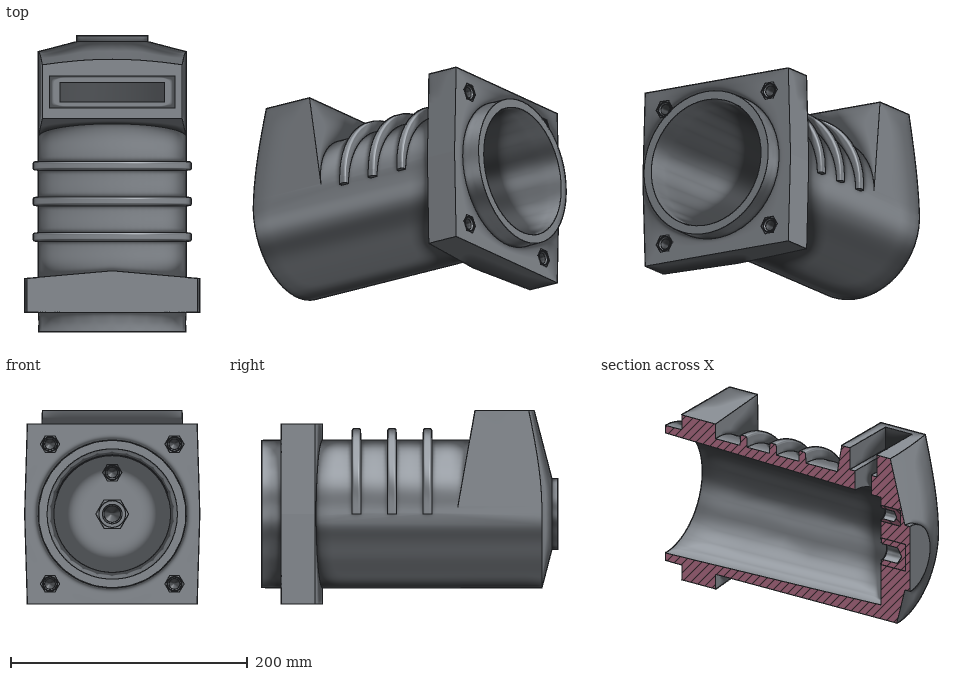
import cadquery as cq
import math

LENGTH = 250.0
BODY_RADIUS = 62.5
COLLAR_LENGTH = 16.5
COLLAR_END_RADIUS = 62.2
BOSS_RADIUS = 30.0
BOSS_LENGTH = 5.0
SHOULDER_END_Y = LENGTH - BOSS_LENGTH
SHOULDER_SLOPE = 0.26

BORE_MOUTH_RADIUS = 55.0
BORE_FLOOR_RADIUS = 49.2
BORE_DEPTH = 220.0

HEAD_TOP = 87.5
HEAD_SPRING_Z = 6.0
HEAD_TOP_HALF_WIDTH = 59.0
HEAD_FRONT_TOP_Y = 180.0
HEAD_FRONT_BASE_Y = 164.5

SLOT_CENTER_Y = 202.2
POCKET_WIDTH = 106.0
POCKET_BREADTH = 27.0
POCKET_DEPTH = 20.0
SLOT_WIDTH = 88.0
SLOT_BREADTH = 16.5

FLANGE_HEIGHT = 152.0
FLANGE_WIDTH = 148.0
FLANGE_CORNER_WIDTH = 143.5
FLANGE_SIDE_Y = 45.0
FLANGE_RIDGE_Y = 51.5

RIB_COUNT = 3
RIB_FIRST_Y = 80.0
RIB_PITCH = 30.0
RIB_TIP_THICKNESS = 7.0
RIB_ROOT_THICKNESS = 7.8
RIB_ROOT_RADIUS = 56.0
RIB_RADIUS = 66.8
RIB_CENTER_Z = 5.5
RIB_FILLET = 2.0

CORNER_INSERT_X = 52.5
CORNER_INSERT_Z = 59.0
FLOOR_INSERT_Z = 35.0
SMALL_FLATS = 14.0
SMALL_FACE_RADIUS = 6.2
SMALL_HOLE_RADIUS = 4.5
SMALL_LENGTH = 20.0
LARGE_FLATS = 24.0
LARGE_FACE_RADIUS = 11.2
LARGE_HOLE_RADIUS = 7.0
LARGE_LENGTH = 25.0
HOLE_CHAMFER = 1.2
FACE_RECESS = 0.5
TIP_HALF_ANGLE = 59.0
END_WALL = 3.8


def revolve_about_y(points):
    """Solid of revolution about Y from (radius, y) points."""
    profile = [(y, radius) for radius, y in points]
    return cq.Workplane("YZ").polyline(profile).close().revolve(360, (0, 0, 0), (1, 0, 0))


def make_boss():
    return revolve_about_y([(0, 0), (BOSS_RADIUS, 0), (BOSS_RADIUS, LENGTH), (0, LENGTH)])


def make_tube():
    """Round body with a drafted collar in front, left square at the rear."""
    return revolve_about_y([
        (0, 0),
        (COLLAR_END_RADIUS, 0),
        (BODY_RADIUS, COLLAR_LENGTH),
        (BODY_RADIUS, SHOULDER_END_Y),
        (0, SHOULDER_END_Y),
    ])


def make_head():
    """Head whose side walls spring from the body and lean inwards, left square at the rear."""
    spring_x = math.sqrt(BODY_RADIUS**2 - HEAD_SPRING_Z**2)
    across = (
        cq.Workplane("XZ")
        .polyline([
            (0, 0),
            (spring_x, HEAD_SPRING_Z),
            (HEAD_TOP_HALF_WIDTH, HEAD_TOP),
            (-HEAD_TOP_HALF_WIDTH, HEAD_TOP),
            (-spring_x, HEAD_SPRING_Z),
        ])
        .close()
        .extrude(-LENGTH)
    )
    along = (
        cq.Workplane("YZ")
        .polyline([
            (HEAD_FRONT_BASE_Y, 0),
            (SHOULDER_END_Y, 0),
            (SHOULDER_END_Y, HEAD_TOP),
            (HEAD_FRONT_TOP_Y, HEAD_TOP),
        ])
        .close()
        .extrude(BODY_RADIUS, both=True)
    )
    return across.intersect(along)


def make_shoulder_envelope():
    """Everything in front of the rear cone, which trims both the tube and the head."""
    reach = 2 * BODY_RADIUS
    reach_y = SHOULDER_END_Y - SHOULDER_SLOPE * (reach - BOSS_RADIUS)
    apex_y = SHOULDER_END_Y + SHOULDER_SLOPE * BOSS_RADIUS
    return revolve_about_y([(0, -LENGTH), (reach, -LENGTH), (reach, reach_y), (0, apex_y)])


def make_flange():
    half_width = FLANGE_WIDTH / 2
    half_corner = FLANGE_CORNER_WIDTH / 2
    half_height = FLANGE_HEIGHT / 2
    face = (
        cq.Workplane("XZ")
        .polyline([
            (-half_corner, -half_height),
            (half_corner, -half_height),
            (half_width, 0),
            (half_corner, half_height),
            (-half_corner, half_height),
            (-half_width, 0),
        ])
        .close()
        .extrude(-FLANGE_RIDGE_Y)
    )
    plan = (
        cq.Workplane("XY")
        .polyline([
            (-half_width, COLLAR_LENGTH),
            (half_width, COLLAR_LENGTH),
            (half_width, FLANGE_SIDE_Y),
            (0, FLANGE_RIDGE_Y),
            (-half_width, FLANGE_SIDE_Y),
        ])
        .close()
        .extrude(half_height, both=True)
    )
    return face.intersect(plan)


def make_rib(center_y):
    """Half-round arch on straight legs that end at the mid plane."""
    half_tip = RIB_TIP_THICKNESS / 2
    half_root = RIB_ROOT_THICKNESS / 2
    root = (RIB_ROOT_RADIUS, -half_root)
    section = (
        cq.Sketch()
        .polygon([
            root,
            (RIB_RADIUS, -half_tip),
            (RIB_RADIUS, half_tip),
            (RIB_ROOT_RADIUS, half_root),
            root,
        ])
        .vertices(">X")
        .fillet(RIB_FILLET)
    )
    sketch = cq.Workplane("XY", origin=(0, center_y, RIB_CENTER_Z)).placeSketch(section)
    arch = sketch.revolve(180, (0, 0, 0), (0, -1, 0))
    leg = sketch.extrude(-RIB_CENTER_Z)
    return arch.union(leg).union(leg.mirror("YZ"))


def make_bore():
    return revolve_about_y([
        (0, 0),
        (BORE_MOUTH_RADIUS, 0),
        (BORE_FLOOR_RADIUS, BORE_DEPTH),
        (0, BORE_DEPTH),
    ])


def make_slot():
    plane = cq.Workplane("XY", origin=(0, SLOT_CENTER_Y, HEAD_TOP))
    pocket = plane.rect(POCKET_WIDTH, POCKET_BREADTH).extrude(-POCKET_DEPTH)
    opening = plane.rect(SLOT_WIDTH, SLOT_BREADTH).extrude(-HEAD_TOP)
    return pocket.union(opening)


def make_hexagon(flats, length):
    """Hexagonal prism from Y = 0, with flats facing up and down."""
    corner_diameter = flats / math.cos(math.pi / 6)
    return cq.Workplane("XZ").polygon(6, corner_diameter).extrude(-length)


def make_insert(flats, face_radius, hole_radius, length):
    """Hexagonal insert with a recessed round face and a chamfered blind hole."""
    tip_length = hole_radius / math.tan(math.radians(TIP_HALF_ANGLE))
    hole_end = length - END_WALL
    hole = revolve_about_y([
        (0, 0),
        (face_radius, 0),
        (face_radius, FACE_RECESS),
        (hole_radius + HOLE_CHAMFER, FACE_RECESS),
        (hole_radius, FACE_RECESS + HOLE_CHAMFER),
        (hole_radius, hole_end - tip_length),
        (0, hole_end),
    ])
    return make_hexagon(flats, length).cut(hole)


small_insert = make_insert(SMALL_FLATS, SMALL_FACE_RADIUS, SMALL_HOLE_RADIUS, SMALL_LENGTH)
large_insert = make_insert(LARGE_FLATS, LARGE_FACE_RADIUS, LARGE_HOLE_RADIUS, LARGE_LENGTH)
small_socket = make_hexagon(SMALL_FLATS, SMALL_LENGTH)
large_socket = make_hexagon(LARGE_FLATS, LARGE_LENGTH)

small_places = [
    (side * CORNER_INSERT_X, COLLAR_LENGTH, level * CORNER_INSERT_Z)
    for side in (-1, 1)
    for level in (-1, 1)
]
small_places.append((0, BORE_DEPTH, FLOOR_INSERT_Z))
large_place = (0, BORE_DEPTH, 0)

housing = make_tube().union(make_head()).intersect(make_shoulder_envelope())
housing = housing.union(make_boss()).union(make_flange())
for index in range(RIB_COUNT):
    housing = housing.union(make_rib(RIB_FIRST_Y + index * RIB_PITCH))
housing = housing.cut(make_bore()).cut(make_slot())
for place in small_places:
    housing = housing.cut(small_socket.translate(place))
housing = housing.cut(large_socket.translate(large_place))

small_inserts = [small_insert.translate(place).val() for place in small_places]
terminal_insert = large_insert.translate(large_place).val()

result = cq.Compound.makeCompound([housing.val(), *small_inserts, terminal_insert])